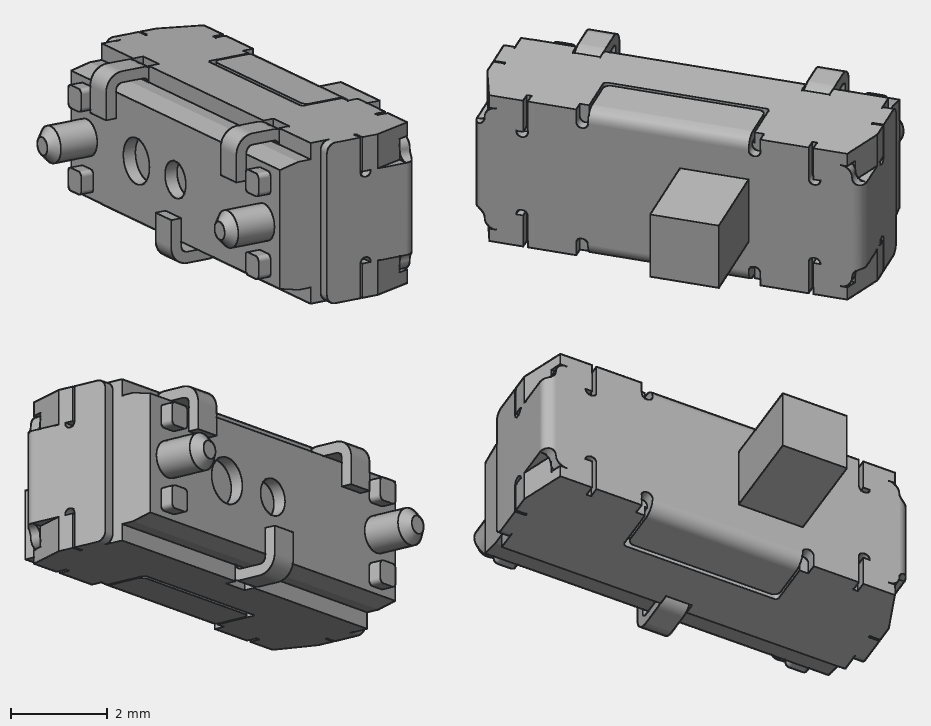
import cadquery as cq
import math


length = 8.5
height = 3.5
wall = 0.25
end_depth = 2.2
end_corner_radius = 0.2
core_length = length - 2 * wall
core_depth = end_depth + wall
base_depth = 3.205
ledge_drop = 0.36
taper_start = 2.745
taper_drop = 0.1

fold_height = 0.75
corner_cut_x = 0.35
corner_cut_y = 0.95
ear_inner_radius = 0.2
ear_outer_radius = 0.25

slit_width = 0.04
slit_y = 1.38
relief_radius = 0.13
notch_width = 0.1
notch_x = 3.06

tongue_length = 3.5
tongue_depth = 1.15
tongue_corner_radius = 0.15
tongue_bend_radius = 0.3
gap_side = 0.05
gap_front = 0.1
gap_corner_radius = 0.08
tongue_relief_width = 2 * relief_radius

lever_size = 1.5
lever_length = 2.0
lever_x = -1.0

peg_diameter = 0.8
peg_length = 1.1
peg_chamfer = 0.2
peg_x = 3.4
foot_size = 0.5
foot_height = 0.3
foot_corner_radius = 0.1
foot_z = 0.9
large_hole_diameter = 1.0
large_hole_x = -1.5
small_hole_diameter = 0.8
hole_depth = 0.3

terminal_width = 0.6
terminal_thickness = 0.25
terminal_outer_radius = 0.4
terminal_front = base_depth + foot_height
terminal_leg_length = 1.0
terminal_back = end_depth
top_terminal_x = 2.5

half_length = length / 2
half_height = height / 2
fold_z = half_height - fold_height

ear_bend_x = -core_length / 2
ear_bend_z = fold_z + ear_inner_radius
ear_x_max = ear_bend_x + ear_outer_radius
ear_top_z = ear_bend_z + ear_outer_radius


def box(x_min, x_max, y_min, y_max, z_min, z_max):
    size = (x_max - x_min, y_max - y_min, z_max - z_min)
    return cq.Workplane("XY").box(*size, centered=False).translate((x_min, y_min, z_min))


def mirrored_in_z(shape):
    return shape.union(shape.mirror("XY"))


def mirrored_in_x(shape):
    return shape.union(shape.mirror("YZ"))


def front_plane(depth):
    """Sketch plane at the given distance from the back face, with +X right, +Z up, facing -Y."""
    return cq.Workplane("XZ", origin=(0, -depth, 0))


def make_block():
    ends = (
        box(-half_length, half_length, -end_depth, 0, -half_height, half_height)
        .edges("|X and <Y")
        .fillet(end_corner_radius)
    )
    core = box(-core_length / 2, core_length / 2, -core_depth, 0, -half_height, half_height)
    ledge_z = half_height - ledge_drop
    face_z = ledge_z - taper_drop
    base = (
        cq.Workplane("YZ")
        .moveTo(-core_depth, ledge_z)
        .lineTo(-taper_start, ledge_z)
        .lineTo(-base_depth, face_z)
        .lineTo(-base_depth, -face_z)
        .lineTo(-taper_start, -ledge_z)
        .lineTo(-core_depth, -ledge_z)
        .close()
        .extrude(core_length / 2, both=True)
    )
    return ends.union(core).union(base)


def make_corner_cut():
    """Slanted cut at the rear left corner, within the upper folded zone."""
    return (
        cq.Workplane("XY", origin=(0, 0, fold_z))
        .moveTo(-half_length, 0)
        .lineTo(-half_length + corner_cut_x, 0)
        .lineTo(-half_length, -corner_cut_y)
        .close()
        .extrude(fold_height)
    )


def make_ear_window():
    """Opening behind the upper left corner cut that exposes the ear of the back skin."""
    return box(-half_length, ear_x_max, -wall, 0, fold_z, ear_top_z)


def make_ear():
    """Ear of the back skin in the upper left corner, with an S-shaped edge."""
    diagonal = math.sqrt(0.5)
    x_min = ear_bend_x - ear_inner_radius
    return (
        cq.Workplane("XZ")
        .moveTo(x_min, fold_z)
        .threePointArc(
            (x_min + ear_inner_radius * diagonal, ear_bend_z - ear_inner_radius * diagonal),
            (ear_bend_x, ear_bend_z),
        )
        .threePointArc(
            (ear_x_max - ear_outer_radius * diagonal, ear_bend_z + ear_outer_radius * diagonal),
            (ear_x_max, ear_top_z),
        )
        .lineTo(ear_x_max, fold_z)
        .close()
        .extrude(wall)
    )


def make_edge_rounding():
    """Material outside the rounded bend between the left end and the back face."""
    corner = box(-half_length, -half_length + wall, -wall, 0, -ear_bend_z, ear_bend_z)
    bend = (
        cq.Workplane("XY", origin=(-half_length + wall, -wall, -ear_bend_z))
        .circle(wall)
        .extrude(2 * ear_bend_z)
    )
    return corner.cut(bend)


def half_round_relief(plane, center):
    """Half disc through the skin, below its flat side."""
    return (
        cq.Workplane(plane, origin=center)
        .moveTo(-relief_radius, 0)
        .threePointArc((0, -relief_radius), (relief_radius, 0))
        .close()
        .extrude(wall)
    )


def make_end_slit():
    """Thin slit down the left end with a half-round relief at its foot."""
    slit = box(-half_length, -half_length + wall, -slit_y, -slit_y + slit_width, fold_z, half_height)
    relief = half_round_relief("YZ", (-half_length, -slit_y + relief_radius, fold_z))
    return slit.union(relief)


def make_back_slot(x_inner, width, straight_depth):
    """Slot on the right half of the back skin, with a half-round relief from x_inner outwards."""
    slot_foot_z = half_height - straight_depth
    slot = box(x_inner, x_inner + width, -wall, 0, slot_foot_z, half_height)
    relief = half_round_relief("XZ", (x_inner + relief_radius, 0, slot_foot_z))
    return slot.union(relief)


def make_tongue_gap():
    """Groove around the tongue, and the material outside the tongue's rounded bend."""
    floor_z = half_height - wall
    gap_half = tongue_length / 2 + gap_side
    tongue_half = tongue_length / 2
    gap = (
        box(-gap_half, gap_half, -tongue_depth - gap_front, 0, floor_z, half_height)
        .edges("|Z and <Y")
        .fillet(gap_corner_radius)
    )
    tongue = (
        box(-tongue_half, tongue_half, -tongue_depth, 0, floor_z, half_height)
        .edges("|Z and <Y")
        .fillet(tongue_corner_radius)
    )
    bend_z = half_height - tongue_bend_radius
    corner = box(-tongue_half, tongue_half, -tongue_bend_radius, 0, bend_z, half_height)
    bend = (
        cq.Workplane("YZ", origin=(-tongue_half, -tongue_bend_radius, bend_z))
        .circle(tongue_bend_radius)
        .extrude(tongue_length)
    )
    return gap.cut(tongue).union(corner.cut(bend))


def make_lever():
    x_min = lever_x - lever_size / 2
    return box(x_min, x_min + lever_size, 0, lever_length, -lever_size / 2, lever_size / 2)


def make_pegs():
    return (
        front_plane(base_depth)
        .pushPoints([(-peg_x, 0), (peg_x, 0)])
        .circle(peg_diameter / 2)
        .extrude(peg_length)
        .faces("<Y")
        .chamfer(peg_chamfer)
    )


def make_feet():
    return (
        front_plane(base_depth)
        .rect(2 * peg_x, 2 * foot_z, forConstruction=True)
        .vertices()
        .rect(foot_size, foot_size)
        .extrude(foot_height)
        .edges("|Y")
        .fillet(foot_corner_radius)
    )


def make_hole(x, diameter):
    return front_plane(base_depth).center(x, 0).circle(diameter / 2).extrude(-hole_depth)


def make_terminal(x, side):
    """Strip bent into a hook; side is +1 for the top edge of the housing and -1 for the bottom."""
    inner_radius = terminal_outer_radius - terminal_thickness
    tip_z = half_height - terminal_leg_length
    half_width = terminal_width / 2
    outside = (
        box(-half_width, half_width, -terminal_front, -terminal_back, tip_z, half_height)
        .edges("|X and >Z")
        .fillet(terminal_outer_radius)
    )
    inside_front = terminal_front - terminal_thickness
    inside_back = terminal_back + terminal_thickness
    inside_top = half_height - terminal_thickness
    inside = (
        box(-half_width, half_width, -inside_front, -inside_back, tip_z, inside_top)
        .edges("|X and >Z")
        .fillet(inner_radius)
    )
    strip = outside.cut(inside).translate((x, 0, 0))
    return (strip if side > 0 else strip.mirror("XY")).solids()


def make_terminal_notch(x, side):
    """Open notch in the front edge of the housing side, down to the ledge."""
    half_width = terminal_width / 2
    notch = box(x - half_width, x + half_width, -core_depth, -terminal_back,
                half_height - ledge_drop, half_height)
    return notch if side > 0 else notch.mirror("XY")


terminal_places = [(-top_terminal_x, 1), (top_terminal_x, 1), (0, -1)]
terminals = [make_terminal(x, side) for x, side in terminal_places]


def make_housing():
    housing = make_block()

    corners = mirrored_in_x(mirrored_in_z(make_corner_cut().union(make_ear_window())))
    ears = mirrored_in_x(mirrored_in_z(make_ear()))
    housing = housing.cut(corners).union(ears).cut(mirrored_in_x(make_edge_rounding()))

    notch = make_back_slot(notch_x, notch_width, fold_height)
    tongue_relief = make_back_slot(tongue_length / 2, tongue_relief_width, tongue_bend_radius)
    paired_cuts = mirrored_in_x(make_end_slit().union(notch).union(tongue_relief))
    housing = housing.cut(mirrored_in_z(paired_cuts.union(make_tongue_gap())))

    housing = housing.union(make_lever()).union(make_pegs()).union(make_feet())
    housing = housing.cut(make_hole(large_hole_x, large_hole_diameter))
    housing = housing.cut(make_hole(0, small_hole_diameter))

    for (x, side), terminal in zip(terminal_places, terminals):
        housing = housing.cut(make_terminal_notch(x, side)).cut(terminal)
    return housing.solids()


housing = make_housing()
result = cq.Compound.makeCompound([housing.val(), *[terminal.val() for terminal in terminals]])